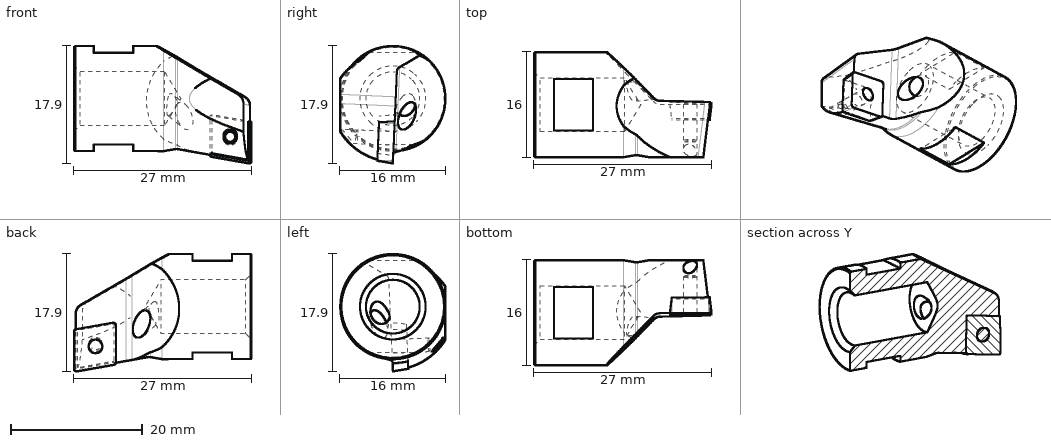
import cadquery as cq
import math

total_length = 27.0
body_diameter = 16.0
body_radius = body_diameter / 2
rear_chamfer = 0.2

taper_start = 13.64
neck_position = 15.58
taper_angle = 10.0
flare_angle = 10.0
neck_blend_radius = 1.0

flat_start = 3.0
flat_length = 6.0
flat_height = 7.0

bore_diameter = 8.18
bore_mouth_diameter = 10.0
bore_depth = 13.77
drill_point_angle = 118.0

coolant_diameter = 3.0
coolant_direction = (1.0, 0.1, -0.8)
coolant_point = (14.85, 1.97, -1.13)
coolant_lead_in = 2.7
coolant_length = 13.5

insert_edge = 6.45
insert_angle = 80.0
insert_thickness = 2.38
insert_nose_radius = 0.4
insert_tip_height = -9.94
relief_angle = 7.0
rake_tilt = 2.5

chip_pocket_reach = 18.58
chip_pocket_blend = 1.35

slope_start = 12.55
slope_angle = 30.0
end_face_position = 26.73
nose_round_radius = 1.62
slope_side_rise = 0.025

screw_diameter = 2.08
screw_tip_chamfer = 0.27
screw_setback = 0.14
screw_length = 5.8

margin = 5.4


def tan(degrees):
    return math.tan(math.radians(degrees))


def sin(degrees):
    return math.sin(math.radians(degrees))


def cos(degrees):
    return math.cos(math.radians(degrees))


def tilt_with_rake(shape):
    """Lean a shape about the X line through the insert tip, as the rake face leans."""
    start = (0, 0, insert_tip_height)
    end = (1, 0, insert_tip_height)
    return shape.rotate(start, end, -rake_tilt)


def make_turned_body():
    neck_radius = body_radius - (neck_position - taper_start) * tan(taper_angle)
    flare_end = total_length + margin
    flare_radius = neck_radius + (flare_end - neck_position) * tan(flare_angle)

    half_bend = (taper_angle + flare_angle) / 2
    tangent = neck_blend_radius * tan(half_bend)
    blend_start = (
        neck_position - tangent * cos(taper_angle),
        neck_radius + tangent * sin(taper_angle),
    )
    blend_end = (
        neck_position + tangent * cos(flare_angle),
        neck_radius + tangent * sin(flare_angle),
    )
    middle_lean = (flare_angle - taper_angle) / 2
    middle_offset = neck_blend_radius * (1 / cos(half_bend) - 1)
    blend_middle = (
        neck_position - middle_offset * sin(middle_lean),
        neck_radius + middle_offset * cos(middle_lean),
    )
    return (
        cq.Workplane("XZ")
        .moveTo(0, 0)
        .lineTo(0, body_radius - rear_chamfer)
        .lineTo(rear_chamfer, body_radius)
        .lineTo(taper_start, body_radius)
        .lineTo(*blend_start)
        .threePointArc(blend_middle, blend_end)
        .lineTo(flare_end, flare_radius)
        .lineTo(flare_end, 0)
        .close()
        .revolve(360, (0, 0, 0), (1, 0, 0))
    )


def make_nose_envelope():
    """Prism bounded by the sloping top, the rounded corner and the end face."""
    slope_drop = (end_face_position - slope_start) * tan(slope_angle)
    corner_z = body_radius - slope_drop
    tangent = nose_round_radius * tan((90 - slope_angle) / 2)
    round_start = (
        end_face_position - tangent * cos(slope_angle),
        corner_z + tangent * sin(slope_angle),
    )
    round_end = (end_face_position, corner_z - tangent)
    middle_elevation = (90 - slope_angle) / 2
    round_middle = (
        end_face_position - nose_round_radius * (1 - cos(middle_elevation)),
        round_end[1] + nose_round_radius * sin(middle_elevation),
    )
    bottom = -body_diameter
    rear = -margin
    top = body_radius + (slope_start - rear) * tan(slope_angle)
    outline = (
        cq.Workplane("XZ")
        .moveTo(rear, bottom)
        .lineTo(end_face_position, bottom)
        .lineTo(*round_end)
        .threePointArc(round_middle, round_start)
        .lineTo(rear, top)
        .close()
        .val()
    )
    relief = tan(relief_angle)
    side_direction = cq.Vector(relief, 1, slope_side_rise - relief * tan(slope_angle))
    outline = outline.translate(side_direction * -body_radius)
    prism = cq.Solid.extrudeLinear(outline, [], side_direction * (2 * body_diameter))
    return cq.Workplane(prism)


def make_side_limit():
    """Slab as wide as the body, which flattens the side of the flared end."""
    slab_size = 4 * total_length
    return cq.Workplane("XY").box(slab_size, body_diameter, slab_size)


def make_chip_pocket():
    far = total_length + margin
    pocket_height = 2 * (body_diameter + margin)
    pocket = (
        cq.Workplane("XY", origin=(0, 0, -pocket_height / 2))
        .moveTo(chip_pocket_reach, 0)
        .lineTo(far, 0)
        .lineTo(far, body_diameter)
        .lineTo(chip_pocket_reach - body_diameter, body_diameter)
        .close()
        .extrude(pocket_height)
        .edges(cq.selectors.NearestToPointSelector((chip_pocket_reach, 0, 0)))
        .fillet(chip_pocket_blend)
    )
    return tilt_with_rake(pocket)


def make_flat_cutter(side):
    centre = (flat_start + flat_length / 2, 0, side * (flat_height + margin / 2))
    return cq.Workplane("XY").box(flat_length, body_diameter, margin).translate(centre)


def make_bore():
    bore_radius = bore_diameter / 2
    mouth_radius = bore_mouth_diameter / 2
    point_length = bore_radius / tan(drill_point_angle / 2)
    return (
        cq.Workplane("XZ")
        .moveTo(0, 0)
        .lineTo(0, mouth_radius)
        .lineTo(mouth_radius - bore_radius, bore_radius)
        .lineTo(bore_depth, bore_radius)
        .lineTo(bore_depth + point_length, 0)
        .close()
        .revolve(360, (0, 0, 0), (1, 0, 0))
    )


def make_coolant_channel():
    axis = cq.Vector(*coolant_direction).normalized()
    start = cq.Vector(*coolant_point) - axis * coolant_lead_in
    return cq.Workplane(cq.Solid.makeCylinder(coolant_diameter / 2, coolant_length, start, axis))


def insert_corners():
    step_x = -insert_edge * sin(insert_angle)
    step_z = insert_edge * cos(insert_angle)
    tip = (total_length, insert_tip_height)
    upper = (tip[0], tip[1] + insert_edge)
    far = (upper[0] + step_x, upper[1] + step_z)
    lower = (tip[0] + step_x, tip[1] + step_z)
    return [tip, upper, far, lower]


def make_insert_blank():
    blank = (
        cq.Workplane("XZ")
        .sketch()
        .polygon(insert_corners() + insert_corners()[:1])
        .vertices()
        .fillet(insert_nose_radius)
        .finalize()
        .extrude(insert_thickness, taper=relief_angle)
    )
    return tilt_with_rake(blank)


def screw_plane():
    """Plane on the rake side, set back from the rhombus centre along its long diagonal."""
    tip, _, far, _ = insert_corners()
    centre_x = (tip[0] + far[0]) / 2 - screw_setback * sin(insert_angle / 2)
    centre_z = (tip[1] + far[1]) / 2 + screw_setback * cos(insert_angle / 2)
    return cq.Workplane("XZ", origin=(centre_x, 0, centre_z))


def make_screw():
    shank = screw_plane().circle(screw_diameter / 2).extrude(screw_length)
    return tilt_with_rake(shank.faces("<Y").chamfer(screw_tip_chamfer))


def make_screw_hole():
    return tilt_with_rake(screw_plane().circle(screw_diameter / 2).extrude(body_diameter))


def make_holder():
    holder = make_turned_body().intersect(make_nose_envelope())
    holder = holder.intersect(make_side_limit())
    holder = holder.cut(make_chip_pocket())
    for side in (1, -1):
        holder = holder.cut(make_flat_cutter(side))
    holder = holder.cut(make_bore())
    holder = holder.cut(make_coolant_channel())
    holder = holder.cut(make_insert_blank())
    return holder.cut(make_screw_hole())


holder = make_holder().solids()
insert = make_insert_blank().cut(make_screw_hole()).solids()
screw = make_screw().solids()

result = cq.Compound.makeCompound([holder.val(), insert.val(), screw.val()])